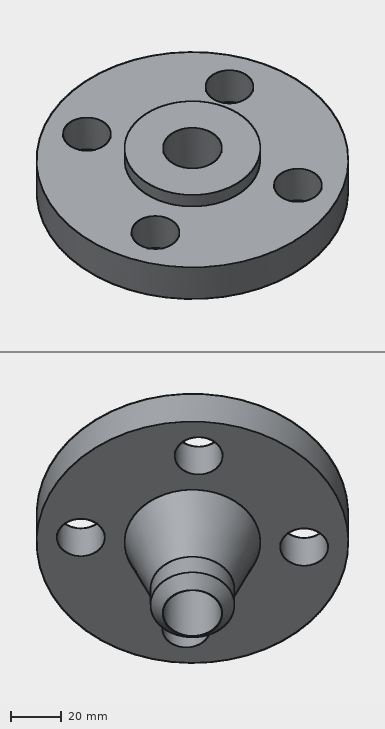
import cadquery as cq

flange_diameter = 124.0
flange_thickness = 17.5

face_diameter = 54.0
face_height = 6.35

hub_diameter = 54.0
neck_diameter = 33.4
overall_height = 68.33
hub_height = 29.5
bevel_height = 5.2
bevel_tip_diameter = 23.7

bore_diameter = 23.4
bolt_hole_diameter = 19.05
bolt_circle_diameter = 88.9
bolt_hole_count = 4
first_bolt_angle = 45.0

plate_top = overall_height - face_height
plate_bottom = plate_top - flange_thickness
hub_bottom = plate_bottom - hub_height


def make_body():
    """Solid of revolution: neck, hub, plate and raised face around the bore."""
    outline = [
        (bore_diameter / 2, 0),
        (bevel_tip_diameter / 2, 0),
        (neck_diameter / 2, bevel_height),
        (neck_diameter / 2, hub_bottom),
        (hub_diameter / 2, plate_bottom),
        (flange_diameter / 2, plate_bottom),
        (flange_diameter / 2, plate_top),
        (face_diameter / 2, plate_top),
        (face_diameter / 2, overall_height),
        (bore_diameter / 2, overall_height),
    ]
    axis_start = (0, 0)
    axis_end = (0, 1)
    return cq.Workplane("XZ").polyline(outline).close().revolve(360, axis_start, axis_end)


def make_bolt_holes():
    """Cylinders through the plate, evenly spaced on the bolt circle."""
    holes = cq.Workplane("XY").workplane(offset=plate_bottom)
    holes = holes.polarArray(bolt_circle_diameter / 2, first_bolt_angle, 360, bolt_hole_count)
    return holes.circle(bolt_hole_diameter / 2).extrude(flange_thickness)


result = make_body().cut(make_bolt_holes())